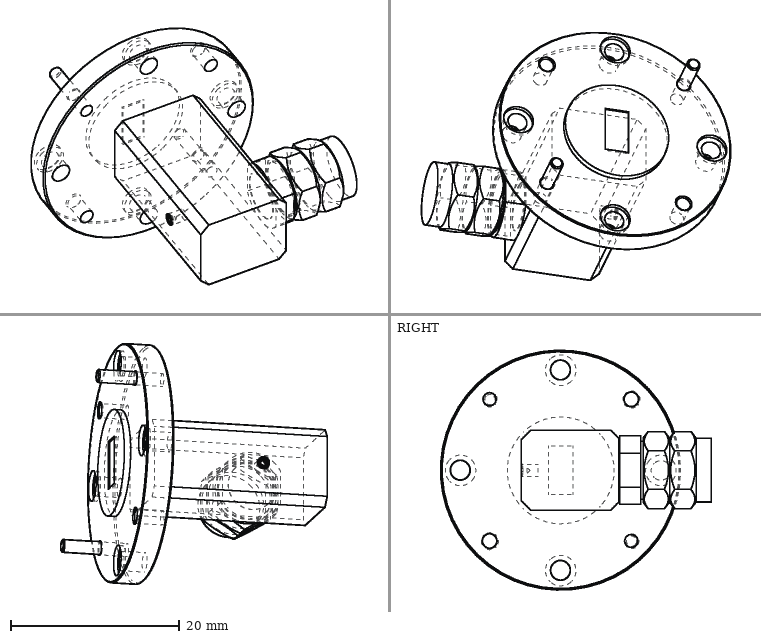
import cadquery as cq
import math


FLANGE_DIAMETER = 28.57
FLANGE_THICKNESS = 3.32
FLANGE_FRONT_CHAMFER = 0.13
FLANGE_REAR_CHAMFER = 0.2
BOSS_DIAMETER = 12.75
BOSS_HEIGHT = 0.77

WINDOW_WIDTH = 2.87
WINDOW_HEIGHT = 5.77
WINDOW_DEPTH = 0.23

HOLE_CIRCLE_RADIUS = 11.93
SCREW_HOLE_DIAMETER = 2.32
COUNTERBORE_DIAMETER = 3.65
COUNTERBORE_DEPTH = 0.5
SCREW_HOLE_ANGLES = (0, 90, 180, 270)
ALIGNMENT_HOLE_DIAMETER = 1.7
ALIGNMENT_HOLE_CHAMFER = 0.15
ALIGNMENT_HOLE_ANGLES = (45, 225)

PIN_DIAMETER = 1.55
PIN_PROTRUSION = 4.65
PIN_CHAMFER = 0.15
PIN_HOLE_CHAMFER = 0.1
PIN_ANGLES = (135, 315)

BLOCK_END_X = 24.65
BLOCK_FRONT_Y = -4.65
BLOCK_BACK_Y = 6.95
BLOCK_HEIGHT = 9.5
BLOCK_FRONT_CHAMFER = 1.1
BLOCK_BACK_CHAMFER = 0.97

SET_SCREW_X = 16.8
SET_SCREW_DIAMETER = 1.42
SET_SCREW_LENGTH = 1.95
SET_SCREW_CHAMFER = 0.13
SOCKET_ACROSS_FLATS = 0.7
SOCKET_DEPTH = 0.65

CONNECTOR_X = 18.32
HEX_ACROSS_FLATS = 7.95
HEX_LENGTH = 3.15
HEX_END_DIAMETER = 7.6
HEX_CHAMFER_LENGTH = 0.6
NECK_DIAMETER = 5.8
NECK_LENGTH = 0.1
BARREL_DIAMETER = 8.2
BARREL_ACROSS_FLATS = 7.13
BARREL_END = 2.87
GROOVE_DIAMETER = 6.9
GROOVE_LENGTH = 0.3
SHELL_DIAMETER = 7.6
SHELL_LENGTH = 1.8

hex_across_corners = HEX_ACROSS_FLATS / math.cos(math.radians(30))
barrel_start_y = BLOCK_BACK_Y + NECK_LENGTH
rear_hex_start_y = BLOCK_BACK_Y + BARREL_END
nut_start_y = rear_hex_start_y + HEX_LENGTH
nut_hex_end_y = nut_start_y + HEX_LENGTH


def flange_plane(x):
    """Plane across the waveguide axis: local x is Y, local y is Z, normal is +X."""
    return cq.Workplane("YZ", origin=(x, 0, 0))


def connector_plane(y):
    """Plane across the connector axis: local x is Z, local y is X, normal is +Y."""
    return cq.Workplane(cq.Plane(origin=(CONNECTOR_X, y, 0), xDir=(0, 0, 1), normal=(0, 1, 0)))


def set_screw_plane():
    """Plane on the block front side at the set screw, normal pointing into the block."""
    origin = (SET_SCREW_X, BLOCK_FRONT_Y, 0)
    return cq.Workplane(cq.Plane(origin=origin, xDir=(0, 0, 1), normal=(0, 1, 0)))


def on_hole_circle(angles):
    """Points on the hole circle at the given angles in degrees."""
    points = []
    for angle in angles:
        turn = math.radians(angle)
        points.append((HOLE_CIRCLE_RADIUS * math.cos(turn), HOLE_CIRCLE_RADIUS * math.sin(turn)))
    return points


def make_flange():
    flange = flange_plane(0).circle(FLANGE_DIAMETER / 2).extrude(FLANGE_THICKNESS)
    flange = flange.faces("<X").chamfer(FLANGE_FRONT_CHAMFER)
    flange = flange.faces(">X").chamfer(FLANGE_REAR_CHAMFER)
    boss = flange_plane(-BOSS_HEIGHT).circle(BOSS_DIAMETER / 2).extrude(BOSS_HEIGHT)
    return flange.union(boss)


def make_block():
    half_height = BLOCK_HEIGHT / 2
    block = (
        flange_plane(FLANGE_THICKNESS)
        .moveTo(BLOCK_FRONT_Y, -half_height)
        .lineTo(BLOCK_BACK_Y, -half_height)
        .lineTo(BLOCK_BACK_Y, half_height)
        .lineTo(BLOCK_FRONT_Y, half_height)
        .close()
        .extrude(BLOCK_END_X - FLANGE_THICKNESS)
    )
    block = block.edges("|X and <Y").chamfer(BLOCK_FRONT_CHAMFER)
    return block.edges("|X and >Y").chamfer(BLOCK_BACK_CHAMFER)


def make_screw_holes():
    points = on_hole_circle(SCREW_HOLE_ANGLES)
    holes = flange_plane(0).pushPoints(points).circle(SCREW_HOLE_DIAMETER / 2).extrude(FLANGE_THICKNESS)
    bores = flange_plane(0).pushPoints(points).circle(COUNTERBORE_DIAMETER / 2).extrude(COUNTERBORE_DEPTH)
    return holes.union(bores)


def make_rimmed_hole(y, z, diameter, rim_chamfer):
    """Cutting shape of a flange through hole with a bevelled front rim."""
    radius = diameter / 2
    hole = flange_plane(0).center(y, z).circle(radius).extrude(FLANGE_THICKNESS)
    rim = (
        flange_plane(0)
        .center(y, z)
        .circle(radius + rim_chamfer)
        .workplane(offset=rim_chamfer)
        .circle(radius)
        .loft()
    )
    return hole.union(rim)


def make_housing():
    housing = make_flange().union(make_block())
    housing = housing.cut(make_screw_holes())
    for y, z in on_hole_circle(ALIGNMENT_HOLE_ANGLES):
        housing = housing.cut(make_rimmed_hole(y, z, ALIGNMENT_HOLE_DIAMETER, ALIGNMENT_HOLE_CHAMFER))
    for y, z in on_hole_circle(PIN_ANGLES):
        housing = housing.cut(make_rimmed_hole(y, z, PIN_DIAMETER, PIN_HOLE_CHAMFER))
    window = flange_plane(-BOSS_HEIGHT).rect(WINDOW_WIDTH, WINDOW_HEIGHT).extrude(WINDOW_DEPTH)
    housing = housing.cut(window)
    return housing.cut(set_screw_plane().circle(SET_SCREW_DIAMETER / 2).extrude(SET_SCREW_LENGTH))


def make_pin(y, z):
    """Dowel pin that fills its flange hole and stands out in front."""
    pin = (
        flange_plane(-PIN_PROTRUSION)
        .center(y, z)
        .circle(PIN_DIAMETER / 2)
        .extrude(PIN_PROTRUSION + FLANGE_THICKNESS)
    )
    return pin.faces("<X").chamfer(PIN_CHAMFER)


def make_set_screw():
    """Headless screw with a hexagon socket that ends in a drill-point cone."""
    screw = set_screw_plane().circle(SET_SCREW_DIAMETER / 2).extrude(SET_SCREW_LENGTH)
    screw = screw.faces("<Y").chamfer(SET_SCREW_CHAMFER)
    socket_corners = SOCKET_ACROSS_FLATS / math.cos(math.radians(30))
    socket = set_screw_plane().polygon(6, socket_corners).extrude(SOCKET_DEPTH)
    tip_radius = SOCKET_ACROSS_FLATS / 2
    tip_start = cq.Vector(SET_SCREW_X, BLOCK_FRONT_Y + SOCKET_DEPTH, 0)
    tip = cq.Workplane(cq.Solid.makeCone(tip_radius, 0, tip_radius, tip_start, cq.Vector(0, 1, 0)))
    return screw.cut(socket).cut(tip)


def make_hex(start_y):
    """Hexagon with corners on +Z and -Z, its corners bevelled by a cone at both ends."""
    hexagon = connector_plane(start_y).polygon(6, hex_across_corners).extrude(HEX_LENGTH)
    end_radius = HEX_END_DIAMETER / 2
    corner_radius = hex_across_corners / 2
    envelope = (
        cq.Workplane("XY", origin=(CONNECTOR_X, start_y, 0))
        .lineTo(end_radius, 0)
        .lineTo(corner_radius, HEX_CHAMFER_LENGTH)
        .lineTo(corner_radius, HEX_LENGTH - HEX_CHAMFER_LENGTH)
        .lineTo(end_radius, HEX_LENGTH)
        .lineTo(0, HEX_LENGTH)
        .close()
        .revolve(360, (0, 0, 0), (0, 1, 0))
    )
    return hexagon.intersect(envelope)


def make_connector_body():
    """Neck on the block, barrel with two flats, relief groove and the rear hexagon."""
    barrel_length = BARREL_END - NECK_LENGTH - GROOVE_LENGTH
    barrel = connector_plane(barrel_start_y).circle(BARREL_DIAMETER / 2).extrude(barrel_length)
    flats = connector_plane(barrel_start_y).rect(BARREL_DIAMETER, BARREL_ACROSS_FLATS).extrude(barrel_length)
    groove_start_y = barrel_start_y + barrel_length
    groove_core = connector_plane(groove_start_y).circle(GROOVE_DIAMETER / 2).extrude(GROOVE_LENGTH)
    neck = connector_plane(BLOCK_BACK_Y).circle(NECK_DIAMETER / 2).extrude(NECK_LENGTH)
    return neck.union(barrel.intersect(flats)).union(groove_core).union(make_hex(rear_hex_start_y))


def make_coupling_nut():
    """Front hexagon with a round shell at its outer end."""
    shell = connector_plane(nut_hex_end_y).circle(SHELL_DIAMETER / 2).extrude(SHELL_LENGTH)
    return make_hex(nut_start_y).union(shell)


housing = make_housing()
pins = [make_pin(y, z) for y, z in on_hole_circle(PIN_ANGLES)]
set_screw = make_set_screw()
connector_body = make_connector_body()
coupling_nut = make_coupling_nut()

result = cq.Compound.makeCompound(
    [
        housing.val(),
        *[pin.val() for pin in pins],
        set_screw.val(),
        connector_body.val(),
        coupling_nut.val(),
    ]
)